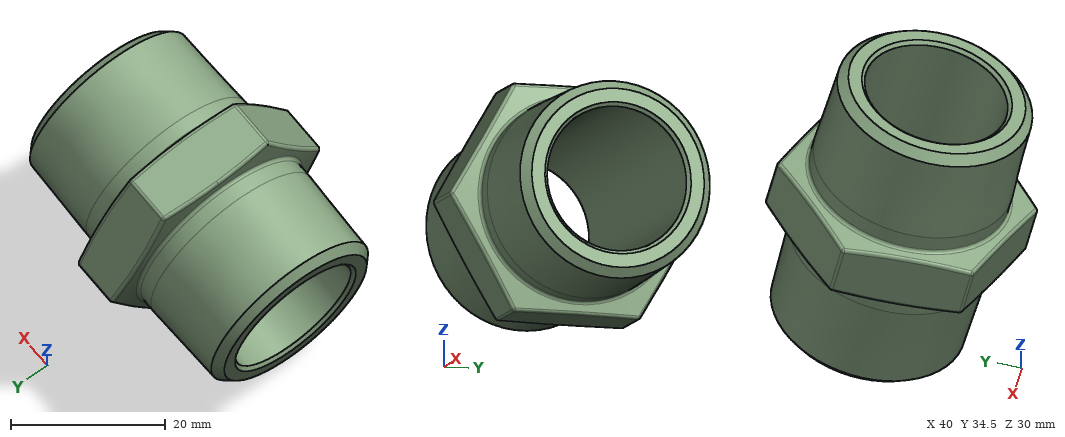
import cadquery as cq
import math

length = 40.0
shank_diameter = 26.7
bore_diameter = 19.0
hex_sides = 6
hex_across_flats = 30.0
hex_root_width = 8.5
hex_face_slope = 10.0
straight_end = 6.7
taper_ratio = 1 / 16
end_chamfer = 1.2
bore_chamfer = 0.5
edge_radius = 0.5

half_length = length / 2
shank_radius = shank_diameter / 2
bore_radius = bore_diameter / 2
hex_across_corners = hex_across_flats / math.cos(math.pi / hex_sides)
taper_end = half_length - end_chamfer
taper_end_radius = shank_radius - (taper_end - straight_end) * taper_ratio / 2


def revolve_about_x(half_profile):
    """Revolve a profile given as (x, radius) points, mirrored about x = 0."""
    mirrored = [(-x, radius) for x, radius in reversed(half_profile)]
    outline = cq.Workplane("XZ").polyline(half_profile + mirrored).close()
    return outline.revolve(360, (0, 0, 0), (1, 0, 0))


def make_shank():
    """Straight middle with a tapered, chamfered thread blank on each side."""
    return revolve_about_x([
        (half_length, 0),
        (half_length, taper_end_radius - end_chamfer),
        (taper_end, taper_end_radius),
        (straight_end, shank_radius),
    ])


def make_hexagon():
    """Wrench hexagon with flats at +Z and -Z, conical side faces and rounded edges."""
    slope = math.tan(math.radians(hex_face_slope))
    axis_half_width = hex_root_width / 2 + shank_radius * slope
    corner_clearance = 0.4
    cone_radius = hex_across_corners / 2 + corner_clearance
    cone_half_width = axis_half_width - cone_radius * slope
    double_cone = revolve_about_x([
        (axis_half_width, 0),
        (cone_half_width, cone_radius),
    ])
    prism = cq.Workplane("YZ").polygon(hex_sides, hex_across_corners).extrude(axis_half_width, both=True)
    flats = prism.intersect(double_cone).faces("#X")
    return flats.edges().fillet(edge_radius)


def round_hexagon_root(body):
    """Fillet the two circles where the hexagon side faces meet the shank."""
    margin = 0.05
    root_half_width = hex_root_width / 2
    root_zone = cq.selectors.BoxSelector(
        (-root_half_width - margin, -shank_diameter, -shank_diameter),
        (root_half_width + margin, shank_diameter, shank_diameter),
    )
    return body.edges("%CIRCLE").edges(root_zone).fillet(edge_radius)


def make_bore():
    """Through bore, opened by a chamfer at each end."""
    return revolve_about_x([
        (half_length, 0),
        (half_length, bore_radius + bore_chamfer),
        (half_length - bore_chamfer, bore_radius),
    ])


body = make_shank().union(make_hexagon())
result = round_hexagon_root(body).cut(make_bore())